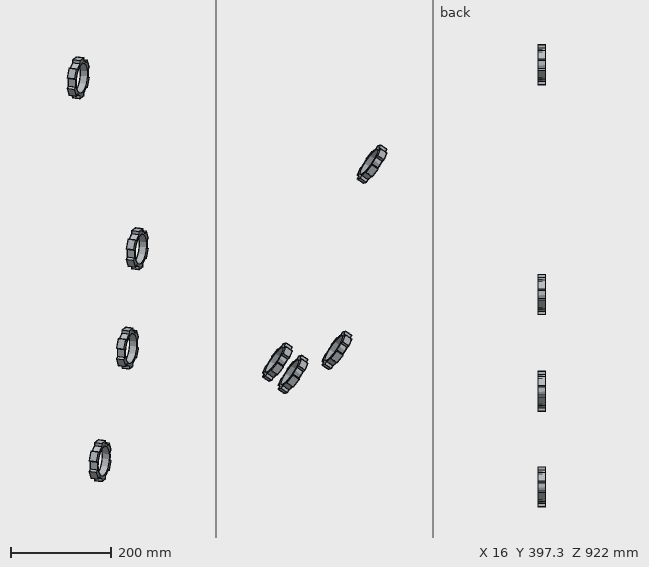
import cadquery as cq

ring_thickness = 16.0
bore_diameter = 60.0
root_diameter = 70.0
tooth_count = 6
tooth_width = 20.0
tip_to_tip = 80.0

tooth_pair_count = tooth_count // 2
tooth_pitch = 360.0 / tooth_count

overall_height = 922.0
top_center_z = overall_height - tip_to_tip
ring_centers = [
    (0.0, top_center_z),
    (318.0, 384.0),
    (266.0, 191.0),
    (118.0, 0.0),
]


def make_ring():
    """Flat ring centred on the X axis, with flat-tipped teeth evenly spaced around its rim."""
    ring = cq.Workplane("YZ").circle(root_diameter / 2).extrude(ring_thickness)

    for pair in range(tooth_pair_count):
        bar = (
            cq.Workplane("YZ")
            .rect(tooth_width, tip_to_tip)
            .extrude(ring_thickness)
            .rotate((0, 0, 0), (1, 0, 0), pair * tooth_pitch)
        )
        ring = ring.union(bar)

    bore = cq.Workplane("YZ").circle(bore_diameter / 2).extrude(ring_thickness)
    return ring.cut(bore)


rings = [make_ring().translate((0, y, z)).solids().val() for y, z in ring_centers]

result = cq.Compound.makeCompound(rings)